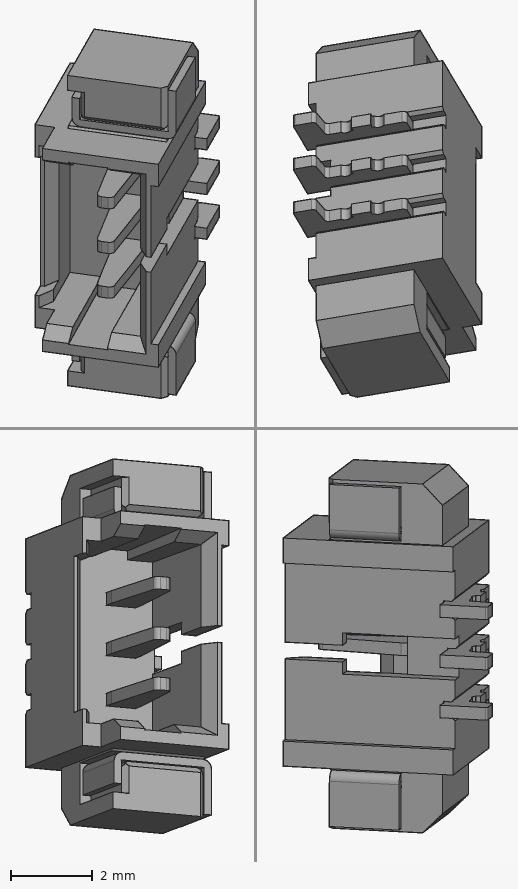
import cadquery as cq

OVER = 0.09

BODY_REAR_Y = 4.31
BODY_HALF_Z = 2.85
BODY_RIGHT_X = 3.445
LEFT_STEP_X = 0.5
LEFT_STEP_Y = 1.1
WINDOW_HALF_Z = 1.945
WINDOW_Y = 1.6
BOARD_RELIEF_X = 3.25
BOARD_RELIEF_HALF_Z = 2.22

CAVITY_LEFT_X = 0.36
CAVITY_RIGHT_X = 2.88
CAVITY_HALF_Z = 2.28
CAVITY_DEPTH = 3.0
LEAD_IN = 0.25
LEAD_IN_DEPTH = 0.39
WALL_DRAFT = 0.05
KEYWAY_LEFT_X = 1.16
KEYWAY_RIGHT_X = 2.145
KEYWAY_HALF_Z = 2.555
CAVITY_FLOOR_RIGHT_X = CAVITY_RIGHT_X - WALL_DRAFT
KEYWAY_FLOOR_HALF_Z = KEYWAY_HALF_Z - WALL_DRAFT

SLOT_HALF_Z = 0.21
SLOT_HEAD_HALF_Z = 0.515
SLOT_HEAD_Y = 1.46

PIN_PITCH = 1.26
PIN_THICKNESS = 0.31
PIN_LEVELS = [-PIN_PITCH, 0, PIN_PITCH]
BLADE_LEFT_X = 1.56
BLADE_RIGHT_X = 2.355
SHOULDER_Y = 2.7
TIP_Y = 0.53
TIP_LEFT_X = 1.72
TIP_RIGHT_X = 2.14
TIP_RADIUS = 0.14
SEAT_Y = 4.01
TAIL_LEFT_X = 0.855
TAIL_TOP_Y = 4.56
TAIL_CORNER_RADIUS = 0.105
BUMP_LEFT_X = 1.73
BUMP_RIGHT_X = 2.22
BUMP_TOP_Y = 4.68
DIP_RADIUS = 0.175
FOOT_RIGHT_X = 3.56
FOOT_END_Y = 5.21
FOOT_ROOT_X = 2.91
FOOT_TOP_X = 2.99
FOOT_RADIUS = 0.105
FOOT_OUTER_RADIUS = 0.05
NOTCH_WIDTH = 0.38
NOTCH_CHAMFER = 0.09

EAR_END_Z = 4.36
EAR_LEFT_X = 0.83
EAR_FRONT_Y = LEFT_STEP_Y
EAR_REAR_Y = SEAT_Y
EAR_REAR_CHAMFER = 0.51
EAR_EDGE_CHAMFER = 0.14
CLIP_THICKNESS = 0.2
CLIP_LEFT_X = 0.91
CLIP_RIGHT_X = FOOT_RIGHT_X
CLIP_BASE_Z = 2.9
CLIP_LEFT_END_Z = 3.7
CLIP_RIGHT_END_Z = 4.27
CLIP_FRONT_Y = 1.2
CLIP_REAR_Y = 2.965
CLIP_BEND_RADIUS = 0.235
CLIP_INNER_LEFT_X = CLIP_LEFT_X + CLIP_THICKNESS
CLIP_INNER_RIGHT_X = CLIP_RIGHT_X - CLIP_THICKNESS
CLIP_INNER_BASE_Z = CLIP_BASE_Z + CLIP_THICKNESS

CORE_GAP = 0.02
CORE_LEFT_X = CLIP_INNER_LEFT_X + CORE_GAP
CORE_BASE_Z = CLIP_INNER_BASE_Z + CORE_GAP
EAR_RIGHT_X = CLIP_INNER_RIGHT_X - CORE_GAP
CORE_TOP_Z = 3.94
BASE_FRONT_Y = 1.13


def box(x0, x1, y0, y1, z0, z1):
    """Block between two opposite corners."""
    return cq.Workplane("XY").box(x1 - x0, y1 - y0, z1 - z0, centered=False).translate((x0, y0, z0))


def slab(points, half_z):
    """Outline in XY extruded evenly above and below Z = 0."""
    return cq.Workplane("XY").polyline(points).close().extrude(half_z, both=True)


def at_both_ends(shape):
    """A shape at the +Z end together with its mirror image at the -Z end."""
    return [shape, shape.mirror("XY")]


def make_shell():
    """Stepped outer block with the left window and the board-side relief."""
    shell = slab(
        [
            (0, LEFT_STEP_Y),
            (LEFT_STEP_X, LEFT_STEP_Y),
            (LEFT_STEP_X, 0),
            (BODY_RIGHT_X, 0),
            (BODY_RIGHT_X, BODY_REAR_Y),
            (0, BODY_REAR_Y),
        ],
        BODY_HALF_Z,
    )
    window = box(-OVER, CAVITY_LEFT_X, 0, WINDOW_Y, -WINDOW_HALF_Z, WINDOW_HALF_Z)
    relief = box(
        BOARD_RELIEF_X, BODY_RIGHT_X + OVER, -OVER, BODY_REAR_Y + OVER, -BOARD_RELIEF_HALF_Z, BOARD_RELIEF_HALF_Z
    )
    return shell.cut(window).cut(relief)


def left_wall_lead_in(front_y, half_z):
    """Wedge that bevels the inner side of the left wall from its front edge."""
    edge_x = CAVITY_LEFT_X - LEAD_IN
    return slab(
        [(edge_x, front_y), (CAVITY_LEFT_X, front_y), (CAVITY_LEFT_X, front_y + LEAD_IN_DEPTH)], half_z
    )


def make_cavity():
    """Everything removed from the mating side."""
    cavity = slab(
        [
            (CAVITY_LEFT_X, -OVER),
            (CAVITY_RIGHT_X, -OVER),
            (CAVITY_RIGHT_X, LEAD_IN_DEPTH),
            (CAVITY_FLOOR_RIGHT_X, CAVITY_DEPTH),
            (CAVITY_LEFT_X, CAVITY_DEPTH),
        ],
        CAVITY_HALF_Z,
    )
    keyway = (
        cq.Workplane("YZ")
        .workplane(offset=KEYWAY_LEFT_X)
        .polyline(
            [
                (0, -KEYWAY_HALF_Z),
                (CAVITY_DEPTH, -KEYWAY_FLOOR_HALF_Z),
                (CAVITY_DEPTH, KEYWAY_FLOOR_HALF_Z),
                (0, KEYWAY_HALF_Z),
            ]
        )
        .close()
        .extrude(KEYWAY_RIGHT_X - KEYWAY_LEFT_X)
    )
    mouth_right_x = CAVITY_RIGHT_X + LEAD_IN
    mouth_half_z = CAVITY_HALF_Z + LEAD_IN
    mouth = (
        cq.Workplane("XZ")
        .rect(2 * mouth_right_x, 2 * mouth_half_z)
        .workplane(offset=-LEAD_IN_DEPTH)
        .rect(2 * CAVITY_RIGHT_X, 2 * CAVITY_HALF_Z)
        .loft(ruled=True)
    )
    cavity = cavity.union(keyway).union(mouth)
    cavity = cavity.union(left_wall_lead_in(LEFT_STEP_Y, CAVITY_HALF_Z))
    return cavity.union(left_wall_lead_in(WINDOW_Y, WINDOW_HALF_Z))


def make_wall_slot():
    """T-shaped slot: narrow at the mouth, wide from its head through the rear."""
    outer_x = BOARD_RELIEF_X + OVER
    inner_x = CAVITY_FLOOR_RIGHT_X
    stem = box(inner_x, outer_x, -OVER, SLOT_HEAD_Y, -SLOT_HALF_Z, SLOT_HALF_Z)
    head = box(inner_x, outer_x, SLOT_HEAD_Y, CAVITY_DEPTH, -SLOT_HEAD_HALF_Z, SLOT_HEAD_HALF_Z)
    rear = box(
        CAVITY_RIGHT_X, outer_x, CAVITY_DEPTH, BODY_REAR_Y + OVER, -SLOT_HEAD_HALF_Z, SLOT_HEAD_HALF_Z
    )
    return stem.union(head).union(rear)


def make_rear_notch():
    """Notch across the rear face, with bevelled mouth edges, for one pin tail."""
    half = NOTCH_WIDTH / 2
    return (
        cq.Workplane("YZ")
        .polyline(
            [
                (SEAT_Y, -half),
                (BODY_REAR_Y - NOTCH_CHAMFER, -half),
                (BODY_REAR_Y, -half - NOTCH_CHAMFER),
                (BODY_REAR_Y, half + NOTCH_CHAMFER),
                (BODY_REAR_Y - NOTCH_CHAMFER, half),
                (SEAT_Y, half),
            ]
        )
        .close()
        .extrude(BODY_RIGHT_X)
    )


def core_outline():
    """Straight prism around the core with its two lower corners cut off."""
    outline = box(CORE_LEFT_X, EAR_RIGHT_X, EAR_FRONT_Y, CLIP_REAR_Y, CORE_BASE_Z, CORE_TOP_Z)
    return outline.edges("|Y and <Z").chamfer(EAR_EDGE_CHAMFER)


def make_ear():
    """Ear at the +Z end: a block slotted for its clip, leaving a bevelled core inside the clip."""
    block = box(EAR_LEFT_X, EAR_RIGHT_X, EAR_FRONT_Y, EAR_REAR_Y, CLIP_BASE_Z, EAR_END_Z)
    block = block.edges(">Y and >Z").chamfer(EAR_REAR_CHAMFER)
    block = block.edges("<Y and >X").chamfer(EAR_EDGE_CHAMFER)

    clearance = box(
        EAR_LEFT_X - OVER, EAR_RIGHT_X + OVER, EAR_FRONT_Y - OVER, CLIP_REAR_Y, CLIP_BASE_Z, CORE_TOP_Z
    )
    core = box(CORE_LEFT_X, EAR_RIGHT_X, EAR_FRONT_Y, CLIP_REAR_Y, CORE_BASE_Z, CORE_TOP_Z)
    core = core.faces("<Y").edges("not >Z").chamfer(EAR_EDGE_CHAMFER)
    core = core.intersect(core_outline())

    slope_run = CLIP_BASE_Z - BODY_HALF_Z
    base_plate = (
        cq.Workplane("YZ")
        .workplane(offset=EAR_LEFT_X)
        .polyline(
            [
                (BASE_FRONT_Y, BODY_HALF_Z),
                (BASE_FRONT_Y + slope_run, CLIP_BASE_Z),
                (EAR_REAR_Y, CLIP_BASE_Z),
                (EAR_REAR_Y, BODY_HALF_Z),
            ]
        )
        .close()
        .extrude(EAR_RIGHT_X - EAR_LEFT_X)
    )
    return block.cut(clearance).union(core).union(base_plate)


def make_housing():
    """Shell with its cavity, wall slot, ears and rear notches."""
    housing = make_shell().cut(make_cavity()).cut(make_wall_slot())
    for ear in at_both_ends(make_ear()):
        housing = housing.union(ear)
    for level in PIN_LEVELS:
        housing = housing.cut(make_rear_notch().translate((0, 0, level)))
    return housing


def round_corner(plate, x, y, radius):
    """Round the corner of a flat plate that stands at (x, y)."""
    return plate.edges(cq.NearestToPointSelector((x, y, 0))).fillet(radius)


def make_pin():
    """Flat pin centred on Z = 0: tapered blade in front, tail with a bump and foot behind."""
    half = PIN_THICKNESS / 2
    blade = slab(
        [
            (TIP_LEFT_X, TIP_Y),
            (TIP_RIGHT_X, TIP_Y),
            (BLADE_RIGHT_X, SHOULDER_Y),
            (BLADE_RIGHT_X, SEAT_Y),
            (BLADE_LEFT_X, SEAT_Y),
            (BLADE_LEFT_X, SHOULDER_Y),
        ],
        half,
    )
    blade = blade.edges("|Z and <Y").fillet(TIP_RADIUS)

    tail = slab(
        [
            (TAIL_LEFT_X, SEAT_Y),
            (TAIL_LEFT_X, TAIL_TOP_Y),
            (FOOT_ROOT_X, TAIL_TOP_Y),
            (FOOT_TOP_X, FOOT_END_Y),
            (FOOT_RIGHT_X, FOOT_END_Y),
            (FOOT_RIGHT_X, SEAT_Y),
        ],
        half,
    )
    tail = round_corner(tail, TAIL_LEFT_X, TAIL_TOP_Y, TAIL_CORNER_RADIUS)
    tail = round_corner(tail, FOOT_ROOT_X, TAIL_TOP_Y, FOOT_RADIUS)
    tail = round_corner(tail, FOOT_TOP_X, FOOT_END_Y, FOOT_RADIUS)
    tail = round_corner(tail, FOOT_RIGHT_X, FOOT_END_Y, FOOT_OUTER_RADIUS)

    tail = tail.union(box(BUMP_LEFT_X, BUMP_RIGHT_X, SEAT_Y, BUMP_TOP_Y, -half, half))
    dips = (
        cq.Workplane("XY")
        .pushPoints([(BUMP_LEFT_X - DIP_RADIUS, BUMP_TOP_Y), (BUMP_RIGHT_X + DIP_RADIUS, BUMP_TOP_Y)])
        .circle(DIP_RADIUS)
        .extrude(half, both=True)
    )
    tail = tail.cut(dips)
    return blade.union(tail)


def make_clip():
    """U-shaped solder clip at the +Z end: short left leg, web and long right leg."""
    clip = (
        cq.Workplane("XZ")
        .polyline(
            [
                (CLIP_LEFT_X, CLIP_LEFT_END_Z),
                (CLIP_LEFT_X, CLIP_BASE_Z),
                (CLIP_RIGHT_X, CLIP_BASE_Z),
                (CLIP_RIGHT_X, CLIP_RIGHT_END_Z),
                (CLIP_INNER_RIGHT_X, CLIP_RIGHT_END_Z),
                (CLIP_INNER_RIGHT_X, CLIP_INNER_BASE_Z),
                (CLIP_INNER_LEFT_X, CLIP_INNER_BASE_Z),
                (CLIP_INNER_LEFT_X, CLIP_LEFT_END_Z),
            ]
        )
        .close()
        .extrude(CLIP_FRONT_Y - CLIP_REAR_Y)
        .translate((0, CLIP_FRONT_Y, 0))
    )
    return clip.edges("|Y and <Z").fillet(CLIP_BEND_RADIUS)


housing = make_housing()

pins = []
for level in PIN_LEVELS:
    pin = make_pin().translate((0, 0, level))
    housing = housing.cut(pin)
    pins.append(pin)

clips = at_both_ends(make_clip())

result = cq.Compound.makeCompound(
    [housing.val(), *[pin.val() for pin in pins], *[clip.val() for clip in clips]]
)